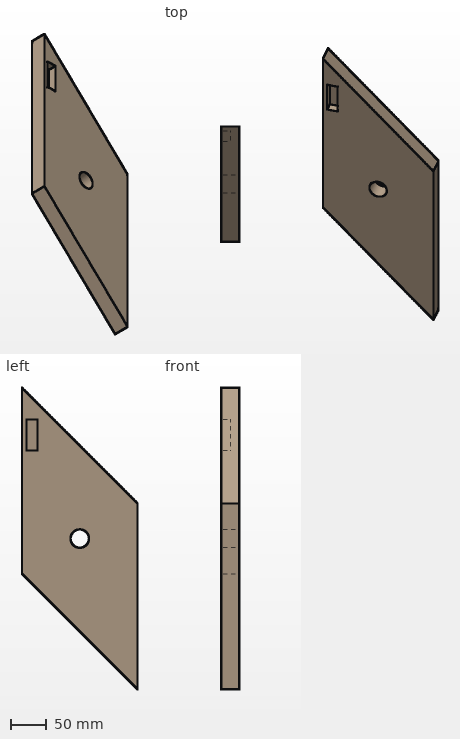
import cadquery as cq
import math

thickness = 25.4
vertical_edge = 260.35
slanted_edge = 228.6
slant_angle = math.radians(45)
width = slanted_edge * math.cos(slant_angle)
drop = slanted_edge * math.sin(slant_angle)
height = vertical_edge + drop

hole_diameter = 25.4

pocket_width = 15.24
pocket_height = 43.18
pocket_depth = 12.7
pocket_edge_gap = 6.35
pocket_top_gap = 44.45


def make_plate():
    """Parallelogram centred on the YZ origin, with its tallest corner at +Y."""
    half_width = width / 2
    half_height = height / 2
    outline = [
        (half_width, half_height),
        (half_width, half_height - vertical_edge),
        (-half_width, -half_height),
        (-half_width, -half_height + vertical_edge),
    ]
    return cq.Workplane("YZ").polyline(outline).close().extrude(thickness)


def make_hole():
    """Through hole along X at the centre of the plate."""
    return cq.Workplane("YZ").circle(hole_diameter / 2).extrude(thickness)


def make_pocket():
    """Cutter for the blind pocket, sunk from the -X face."""
    center_y = width / 2 - pocket_edge_gap - pocket_width / 2
    center_z = height / 2 - pocket_top_gap - pocket_height / 2
    return (
        cq.Workplane("YZ")
        .center(center_y, center_z)
        .rect(pocket_width, pocket_height)
        .extrude(pocket_depth)
    )


result = make_plate().cut(make_hole()).cut(make_pocket())